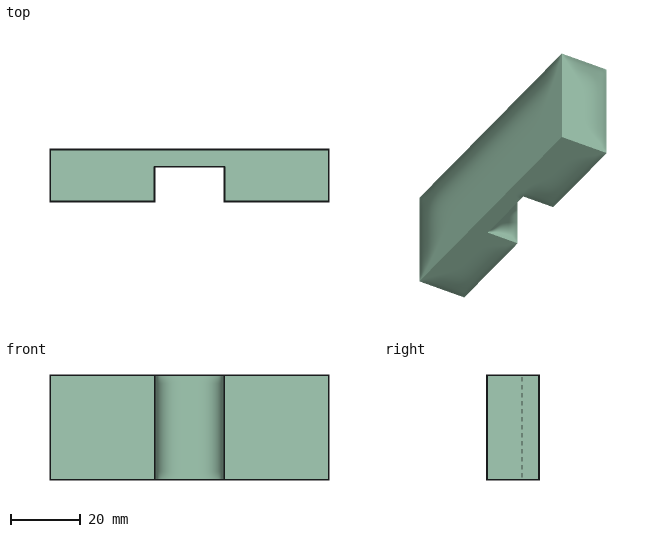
import cadquery as cq

length = 80.0
depth = 15.0
height = 30.0

channel_width = 20.0
channel_depth = 10.0


def make_block():
    """Plain rectangular block centred on the origin."""
    return cq.Workplane("XY").box(length, depth, height)


def make_channel():
    """Volume removed by the channel, open on the -Y, +Z and -Z sides."""
    center_y = (channel_depth - depth) / 2
    return cq.Workplane("XY").box(channel_width, channel_depth, height).translate((0, center_y, 0))


result = make_block().cut(make_channel())